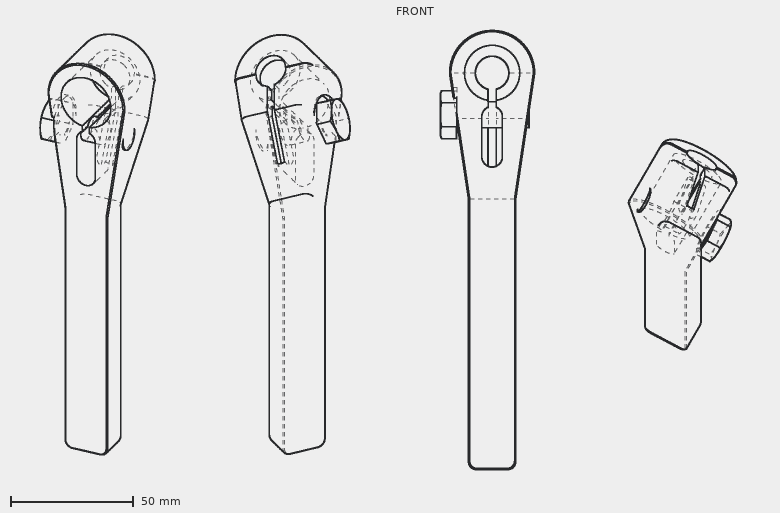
import cadquery as cq
import math

length = 179.3
head_radius = 17.4
head_depth = 31.2
web_depth = 30.7
handle_depth = 15.2
handle_half_width = 9.7
taper_end_z = -51.3
slope_start_z = -18.5
handle_end_z = head_radius - length
corner_radius = 3.4
back_fillet = 3.2
front_chamfer = 0.5

bore_radius = 11.3
back_hole_radius = 6.8
back_wall = 4.3
slit_width = 3.2
slot_width = 8.5
slot_top_z = -13.6
slot_bottom_z = -38.4

bolt_y = 9.1
bolt_z = -17.0
shank_radius = 5.4
shank_end_x = 15.0
seat_x = -14.5
seat_radius = 11.3
bolt_head_x = -21.2
hex_across_flats = 17.0
hex_chamfer = 0.5
seat_cut_length = 9.0


def extrude_back(sketch, start_y, end_y):
    """Extrude an XZ sketch from start_y to end_y."""
    return sketch.extrude(start_y - end_y).translate((0, start_y, 0))


def bolt_sketch(x):
    """Sketch plane across the bolt axis at the given X."""
    return cq.Workplane("YZ", origin=(x, bolt_y, bolt_z))


def make_head():
    """Upper half of the clamp head, rounded at the back and chamfered at the front."""
    outline = (
        cq.Workplane("XZ")
        .moveTo(-head_radius, 0)
        .threePointArc((0, head_radius), (head_radius, 0))
        .close()
    )
    head = extrude_back(outline, 0, head_depth)
    head = head.faces(">Y").edges("%CIRCLE").fillet(back_fillet)
    return head.faces("<Y").edges("%CIRCLE").chamfer(front_chamfer)


def make_web():
    """Tapering web between the head and the handle, sloping forward at the back."""
    outline = (
        cq.Workplane("XZ")
        .moveTo(-head_radius, 0)
        .lineTo(head_radius, 0)
        .lineTo(handle_half_width, taper_end_z)
        .lineTo(-handle_half_width, taper_end_z)
        .close()
    )
    side = (
        cq.Workplane("YZ")
        .moveTo(0, 0)
        .lineTo(web_depth, 0)
        .lineTo(web_depth, slope_start_z)
        .lineTo(handle_depth, taper_end_z)
        .lineTo(0, taper_end_z)
        .close()
        .extrude(head_radius, both=True)
    )
    web = extrude_back(outline, 0, web_depth).intersect(side)
    back_rim = web.edges("not(<Y or >Z or <Z or |X or |Y)")
    web = back_rim.fillet(back_fillet)
    return web.faces("<Y").edges("not |X").chamfer(front_chamfer)


def make_handle():
    """Straight handle with rounded end corners and a rounded back rim."""
    handle = cq.Workplane("XY").box(
        2 * handle_half_width, handle_depth, taper_end_z - handle_end_z, centered=(True, False, False)
    ).translate((0, 0, handle_end_z))
    handle = handle.edges("|Y and <Z").fillet(corner_radius)
    handle = handle.faces(">Y").edges("not >Z").fillet(back_fillet)
    return handle.faces("<Y").edges("not >Z").chamfer(front_chamfer)


def cut_bores(body):
    """Stepped bore: wide from the front, narrow through the back wall."""
    bore = extrude_back(cq.Workplane("XZ").circle(bore_radius), 0, head_depth - back_wall)
    back_hole = extrude_back(cq.Workplane("XZ").circle(back_hole_radius), 0, head_depth)
    return body.cut(bore).cut(back_hole)


def cut_slot(body):
    """Clamping slit through the web, widened at the front down to a sloping floor."""
    slot_length = slot_top_z - slot_bottom_z
    slot_middle_z = (slot_top_z + slot_bottom_z) / 2
    slot = cq.Workplane("XZ").center(0, slot_middle_z).slot2D(slot_length, slot_width, angle=90)
    wide_slot = extrude_back(slot, 0, head_depth)
    slope = (web_depth - handle_depth) / (slope_start_z - taper_end_z)
    floor_y = web_depth - back_wall
    bottom_floor_y = floor_y - slope * (slope_start_z - slot_bottom_z)
    pocket = (
        cq.Workplane("YZ")
        .moveTo(0, 0)
        .lineTo(floor_y, 0)
        .lineTo(floor_y, slope_start_z)
        .lineTo(bottom_floor_y, slot_bottom_z)
        .lineTo(0, slot_bottom_z)
        .close()
        .extrude(slot_width, both=True)
    )
    end_radius = slot_width / 2
    slit_half_width = slit_width / 2
    slit_corner_z = slot_bottom_z + end_radius - math.sqrt(end_radius**2 - slit_half_width**2)
    slit_outline = (
        cq.Workplane("XZ")
        .moveTo(slit_half_width, 0)
        .lineTo(slit_half_width, slit_corner_z)
        .threePointArc((0, slot_bottom_z), (-slit_half_width, slit_corner_z))
        .lineTo(-slit_half_width, 0)
        .close()
    )
    slit = extrude_back(slit_outline, 0, head_depth)
    return body.cut(wide_slot.intersect(pocket)).cut(slit)


def cut_bolt_seat(body):
    """Round flat on the tapered side that carries the bolt head."""
    seat = bolt_sketch(seat_x).circle(seat_radius).extrude(-seat_cut_length)
    return body.cut(seat)


def make_bolt():
    """Hexagon bolt with corners pointing up and down."""
    head_length = seat_x - bolt_head_x
    hex_corner_radius = hex_across_flats / 2 / math.cos(math.pi / 6)
    corners = [
        (
            hex_corner_radius * math.sin(i * math.pi / 3),
            hex_corner_radius * math.cos(i * math.pi / 3),
        )
        for i in range(6)
    ]
    hexagon = bolt_sketch(bolt_head_x).polyline(corners).close().extrude(head_length)
    turned_blank = (
        bolt_sketch(bolt_head_x)
        .circle(hex_corner_radius)
        .extrude(head_length)
        .faces("<X")
        .chamfer(hex_chamfer, hex_corner_radius - hex_across_flats / 2)
    )
    shank = bolt_sketch(seat_x).circle(shank_radius).extrude(shank_end_x - seat_x)
    return hexagon.intersect(turned_blank).union(shank)


body = make_head().union(make_web()).union(make_handle())
body = cut_bores(body)
body = cut_slot(body)
body = cut_bolt_seat(body)
result = body.union(make_bolt())